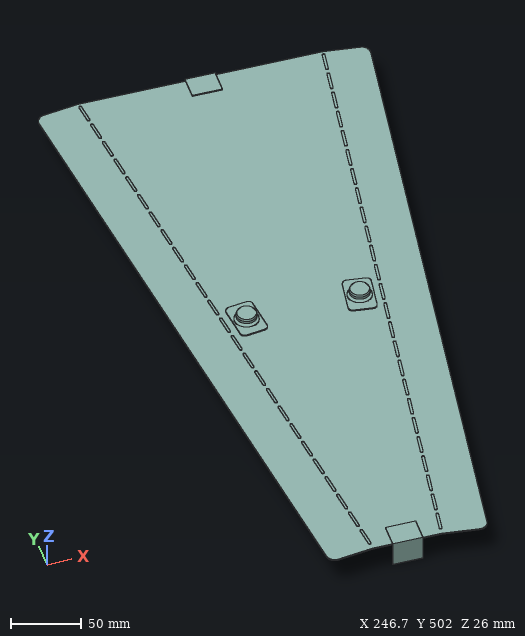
import cadquery as cq
import math

OVERALL_LENGTH = 502.0

FAN_ANGLE = 7.5
SHEET_THICKNESS = 1.0
SLOT_LINE_HALF_WIDTH = 58.0
WING_WIDTH = 33.5
CORNER_RADIUS = 6.5

SLOT_COUNT = 25
SLOT_ROW_LENGTH = 494.5
SLOT_LENGTH = 16.0
SLOT_WIDTH = 2.0
SLOT_DEPTH = 0.5
SLOT_ROW_MIDDLE_Y = 2.5

BRACKET_WIDTH = 22.5
BRACKET_THICKNESS = 1.0
BRACKET_LAP = 17.5
BRACKET_DROP = 18.5

LATCH_X = 42.0
LATCH_Y = 3.5
LATCH_WIDTH = 21.0
LATCH_LENGTH = 31.0
LATCH_THICKNESS = 1.0
LATCH_CORNER_RADIUS = 3.5
LATCH_HOLE_RADIUS = 9.0
BUTTON_TOP_Z = 7.5
BUTTON_HEIGHT = 3.5
BUTTON_RADIUS = 7.5
BUTTON_TAPER_HEIGHT = 1.5
BUTTON_TAPER_INSET = 0.5

SIDES = (-1, 1)
slot_pitch = (SLOT_ROW_LENGTH - SLOT_LENGTH) / (SLOT_COUNT - 1)
fan_slope = math.tan(math.radians(FAN_ANGLE))
fan_cos = math.cos(math.radians(FAN_ANGLE))
fan_sin = math.sin(math.radians(FAN_ANGLE))

tip_rounding = CORNER_RADIUS * (fan_cos + fan_sin - 1)
sheet_back_y = OVERALL_LENGTH / 2 - BRACKET_THICKNESS
sheet_front_y = -OVERALL_LENGTH / 2 + WING_WIDTH * fan_sin - tip_rounding


def slot_line_x(y):
    """Distance of the slot line from the centre plane at a given Y."""
    return SLOT_LINE_HALF_WIDTH + fan_slope * y


def make_wing_corner(y):
    """Outer corner of the right wing, square to the slot line at its end."""
    return (slot_line_x(y) + WING_WIDTH * fan_cos, y - WING_WIDTH * fan_sin)


def make_slots():
    slots = cq.Workplane("XY")
    for side in SIDES:
        for index in range(SLOT_COUNT):
            along = (index - (SLOT_COUNT - 1) / 2) * slot_pitch
            y = SLOT_ROW_MIDDLE_Y + along * fan_cos
            slot = (
                cq.Workplane("XY")
                .slot2D(SLOT_LENGTH, SLOT_WIDTH, 90 - side * FAN_ANGLE)
                .extrude(SLOT_DEPTH)
                .translate((side * slot_line_x(y), y, SHEET_THICKNESS - SLOT_DEPTH))
            )
            slots = slots.add(slot)
    return cq.Compound.makeCompound(slots.vals())


def make_sheet():
    right_side = [
        (slot_line_x(sheet_front_y), sheet_front_y),
        make_wing_corner(sheet_front_y),
        make_wing_corner(sheet_back_y),
        (slot_line_x(sheet_back_y), sheet_back_y),
    ]
    left_side = [(-x, y) for x, y in reversed(right_side)]
    sheet = cq.Workplane("XY").polyline(right_side + left_side).close().extrude(SHEET_THICKNESS)
    wing_corners = [
        (side * x, y, SHEET_THICKNESS / 2)
        for side in SIDES
        for x, y in (make_wing_corner(sheet_front_y), make_wing_corner(sheet_back_y))
    ]
    for corner in wing_corners:
        sheet = sheet.edges(cq.selectors.NearestToPointSelector(corner)).fillet(CORNER_RADIUS)
    return sheet.cut(make_slots())


def make_bracket(end_y, outward):
    """Bracket lapped on the sheet, its leg hanging outside the end at end_y."""
    top_z = SHEET_THICKNESS + BRACKET_THICKNESS
    outer_y = end_y + outward * BRACKET_THICKNESS
    inner_y = outer_y - outward * BRACKET_LAP
    profile = [
        (outer_y, top_z),
        (outer_y, -BRACKET_DROP),
        (end_y, -BRACKET_DROP),
        (end_y, SHEET_THICKNESS),
        (inner_y, SHEET_THICKNESS),
        (inner_y, top_z),
    ]
    return cq.Workplane("YZ").polyline(profile).close().extrude(BRACKET_WIDTH / 2, both=True)


def make_latch_plate(side):
    return (
        cq.Workplane("XY")
        .rect(LATCH_WIDTH, LATCH_LENGTH)
        .extrude(LATCH_THICKNESS)
        .edges("|Z")
        .fillet(LATCH_CORNER_RADIUS)
        .faces(">Z")
        .workplane()
        .hole(2 * LATCH_HOLE_RADIUS)
        .rotate((0, 0, 0), (0, 0, 1), -side * FAN_ANGLE)
        .translate((side * LATCH_X, LATCH_Y, SHEET_THICKNESS))
    )


def make_button(side):
    return (
        cq.Workplane("XY")
        .circle(BUTTON_RADIUS)
        .extrude(BUTTON_HEIGHT)
        .faces(">Z")
        .edges()
        .chamfer(BUTTON_TAPER_HEIGHT, BUTTON_TAPER_INSET)
        .translate((side * LATCH_X, LATCH_Y, BUTTON_TOP_Z - BUTTON_HEIGHT))
    )


sheet = make_sheet()
brackets = [make_bracket(sheet_back_y, 1), make_bracket(sheet_front_y, -1)]
latch_plates = [make_latch_plate(side) for side in SIDES]
buttons = [make_button(side) for side in SIDES]

bodies = [sheet] + brackets + latch_plates + buttons
result = cq.Compound.makeCompound([body.val() for body in bodies])